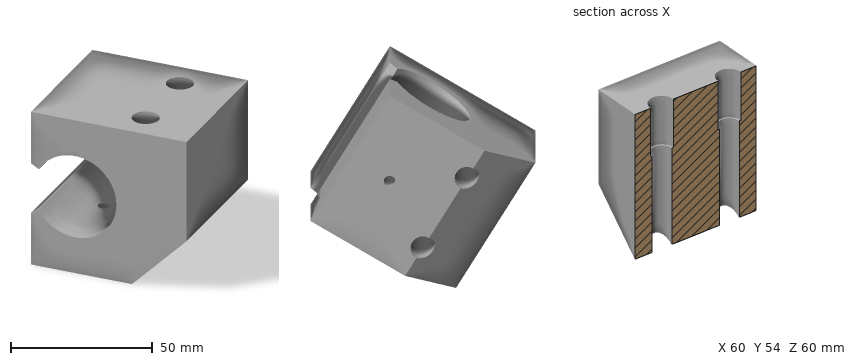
import cadquery as cq
import math

width = 60.0
depth = 54.0
height = 60.0
corner_chamfer = 21.0

bore_diameter = 32.0
bore_x = 17.0
bore_z = height / 2
lip_angle = 30.0

mount_x = 39.0
mount_spacing = 30.0
mount_diameter = 8.6
mount_top_diameter = 10.0
mount_top_depth = 20.0

drain_diameter = 4.0
drain_x = 16.2
drain_y = depth / 2


def make_block():
    block = cq.Workplane("XY").box(width, depth, height, centered=False)
    return block.edges("|Y and >X and <Z").chamfer(corner_chamfer)


def make_bore():
    bore = cq.Workplane("XZ").center(bore_x, bore_z).circle(bore_diameter / 2).extrude(-depth)
    mouth_half_height = bore_x * math.tan(math.radians(lip_angle))
    mouth = (
        cq.Workplane("XZ")
        .moveTo(bore_x, bore_z)
        .lineTo(0, bore_z + mouth_half_height)
        .lineTo(0, bore_z - mouth_half_height)
        .close()
        .extrude(-depth)
    )
    return bore.union(mouth)


def make_mount_hole(y):
    hole = cq.Workplane("XY").center(mount_x, y).circle(mount_diameter / 2).extrude(height)
    top = (
        cq.Workplane("XY", origin=(mount_x, y, height))
        .circle(mount_top_diameter / 2)
        .extrude(-mount_top_depth)
    )
    return hole.union(top)


def make_drain_hole():
    return cq.Workplane("XY").center(drain_x, drain_y).circle(drain_diameter / 2).extrude(bore_z)


result = make_block().cut(make_bore()).cut(make_drain_hole())
for side in (-1, 1):
    result = result.cut(make_mount_hole(depth / 2 + side * mount_spacing / 2))